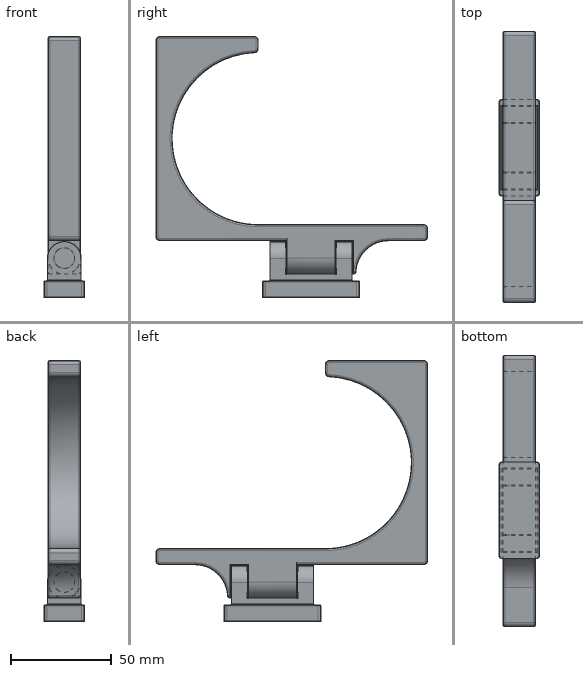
import cadquery as cq
import math

frame_length = 135.0
frame_width = 16.0
total_height = 129.7
wall = 8.0
arm_underside = 28.2
corner_radius = 2.0
side_edge_radius = 1.0

web_arc_radius = 16.0
web_bottom = 11.7
web_tip_width = 1.3
web_tip_radius = 1.2

base_length = 48.0
base_width = 20.0
base_height = 8.1
base_corner_radius = 1.5
base_rim_radius = 0.4

hinge_y = 77.1
hinge_z = 19.6
hub_length = 24.0
lug_thickness = 8.0
lug_width = 16.9
lug_round_z = 19.3
lug_foot_chamfer = 0.5
hinge_clearance = 0.5
pin_diameter = 10.3

arm_top = arm_underside + wall
opening_top = total_height - wall
opening_radius = (opening_top - arm_top) / 2
opening_y = wall + opening_radius
opening_z = arm_top + opening_radius
hub_radius = frame_width / 2
hub_start_y = hinge_y - hub_length / 2
hub_end_y = hinge_y + hub_length / 2
lug_gap = hub_length + 2 * hinge_clearance
yoke_length = lug_gap + 2 * lug_thickness
yoke_floor = hinge_z - hub_radius
slot_end_y = hinge_y + yoke_length / 2 + hinge_clearance
web_tip_y = slot_end_y + web_tip_width
web_start_y = web_tip_y + web_arc_radius


def block(width, y_start, y_end, z_start, z_end):
    """Box centred on X between the given Y and Z limits."""
    return cq.Workplane("XY").box(
        width, y_end - y_start, z_end - z_start, centered=(True, False, False)
    ).translate((0, y_start, z_start))


def cylinder_along_y(radius, centre_z, y_start, y_end):
    """Cylinder along Y at the given height, between the given Y limits."""
    return (
        cq.Workplane("XZ", origin=(0, y_start, centre_z))
        .circle(radius)
        .extrude(y_start - y_end)
    )


def edges_at(body, points):
    """Edges along X that pass through the given (Y, Z) points."""
    picked = body.edges(cq.selectors.NearestToPointSelector((0, *points[0])))
    for point in points[1:]:
        picked = picked.add(body.edges(cq.selectors.NearestToPointSelector((0, *point))))
    return picked


def make_frame():
    web_centre_z = arm_underside - web_arc_radius
    diagonal = web_arc_radius * math.sqrt(0.5)
    frame = (
        cq.Workplane("YZ")
        .moveTo(0, arm_underside)
        .lineTo(0, total_height)
        .lineTo(opening_y, total_height)
        .lineTo(opening_y, opening_top)
        .threePointArc((wall, opening_z), (opening_y, arm_top))
        .lineTo(frame_length, arm_top)
        .lineTo(frame_length, arm_underside)
        .lineTo(web_start_y, arm_underside)
        .threePointArc(
            (web_start_y - diagonal, web_centre_z + diagonal), (web_tip_y, web_centre_z)
        )
        .lineTo(web_tip_y, web_bottom)
        .lineTo(hinge_y, web_bottom)
        .lineTo(hinge_y, arm_underside)
        .close()
        .extrude(frame_width / 2, both=True)
    )
    outer_corners = [
        (0, arm_underside),
        (0, total_height),
        (opening_y, total_height),
        (opening_y, opening_top),
        (frame_length, arm_top),
        (frame_length, arm_underside),
    ]
    frame = edges_at(frame, outer_corners).fillet(corner_radius)
    frame = edges_at(frame, [(web_tip_y, web_bottom)]).fillet(web_tip_radius)
    frame = frame.faces("<X or >X").edges().fillet(side_edge_radius)

    frame = frame.cut(block(frame_width, hinge_y, slot_end_y, 0, arm_underside))

    hub = block(frame_width, hub_start_y, hub_end_y, hinge_z, arm_underside + side_edge_radius)
    hub = hub.union(cylinder_along_y(hub_radius, hinge_z, hub_start_y, hub_end_y))
    return frame.union(hub)


def make_base():
    base = block(
        base_width, hinge_y - base_length / 2, hinge_y + base_length / 2, 0, base_height
    )
    base = base.edges("|Z").fillet(base_corner_radius)
    base = base.faces(">Z").edges().fillet(base_rim_radius)

    yoke_start_y = hinge_y - yoke_length / 2
    yoke_end_y = hinge_y + yoke_length / 2
    yoke = block(lug_width, yoke_start_y, yoke_end_y, base_height, lug_round_z)
    base = base.union(yoke)

    foot = cq.selectors.BoxSelector(
        (-lug_width, yoke_start_y - lug_foot_chamfer, base_height - lug_foot_chamfer / 2),
        (lug_width, yoke_end_y + lug_foot_chamfer, base_height + lug_foot_chamfer / 2),
    )
    base = base.edges(foot).chamfer(lug_foot_chamfer)

    base = base.union(cylinder_along_y(lug_width / 2, lug_round_z, yoke_start_y, yoke_end_y))
    return base.cut(
        block(lug_width, hinge_y - lug_gap / 2, hinge_y + lug_gap / 2, yoke_floor, total_height)
    )


def make_pin():
    return cylinder_along_y(
        pin_diameter / 2, hinge_z, hinge_y - yoke_length / 2, hinge_y + yoke_length / 2
    )


result = make_frame().union(make_base()).union(make_pin(), clean=False)